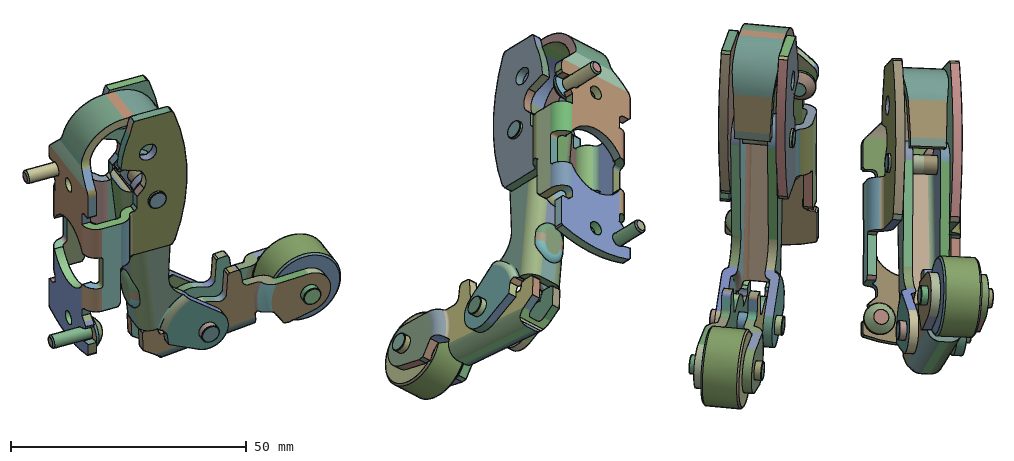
import cadquery as cq
import math


SHEET = 2.0
LONG = 41.45

PIN_DIA = 4.1
LEVER_PIN_DIA = 4.15
LOOSE_HOLE_DIA = 4.15
PIN_HALF_LENGTH = 7.8
PIN_END_CHAMFER = 0.15
BRACKET_PIN = (17.3, 13.1)
LEVER_PIN = (29.65, -25.8)
ROLLER_PIN = (53.4, -23.2)
ROLLER_DIA = 17.0
ROLLER_WIDTH = 8.2
ROLLER_CHAMFER = 0.4

WING_OUTER = 10.0
PLATE_HALF = 9.9
NECK_HALF = 6.8
CHEEK_OUTER = 7.2
WING_TOP = 11.55
WING_BOTTOM = -10.1
RELIEF_RADIUS = 1.1
WING_NOTCH = (3.4, 4.0)
BEND_START = 7.7
BEND_END = 11.7
CHEEK_BOTTOM = 0.15
CHEEK_TOP = 35.1
CHEEK_HOLE_DIA = 4.0
CHEEK_HOLE = (15.3, 26.05)
OPENING_DIA = 16.15
HOLE_DIA = 3.1
HOLE_Z = 17.4
SCREW_X = 6.35
HOOD_HALF = 4.9
HOOD_TOP = 34.7
HOOD_LEAN = 14.5
HOOD_SLOPE_TOP = 26.95
HOOD_SLOPE_LENGTH = 1.45
HOOD_FLAT_START = 10.85
HOOD_FLAT_END = 13.1
HOOD_BACK_RADIUS = 9.9
TONGUE_LEAN = 6.0
TONGUE_KNEE = 17.4
TONGUE_END = 15.6
TONGUE_HALF = 3.9

SCREW_DIA = 3.0
SCREW_REACH = 7.2
SCREW_END_CHAMFER = 0.35
SCREW_HEAD_DIA = 6.8
SCREW_RIM = 0.6
SCREW_HEAD_HEIGHT = 2.3
SCREW_CROWN_DIA = 3.25
SCREW_DOME_POINT = (2.6, 3.5)

TILT = 6.1
LEVER_HALF = 5.0
LEVER_BEND = 3.05
LEVER_WEB_TOP = (11.05, 14.6)
LEVER_LENGTH = 37.9
LEVER_EYE_RADIUS = 4.85
LEVER_LUG_OUTER = 6.2
LEVER_JOGGLE = (9.8, 11.5)
BOSS_RADIUS = 3.95
BOSS_STRAIGHT = 2.1
BOSS_HEIGHT = 0.75
BOSS_FILLET = 1.9
BOSS_PLACES = (15.1, 28.8)

JOGGLE_SPLIT = 0.8

ARM_HALF = 3.9
ARM_BEND = 2.9
ARM_WEB_BACK = (42.15, -30.6)
ARM_EYE_RADIUS = 5.0
ARM_LUG_OUTER = 6.2
ARM_JOGGLE = (8.8, 11.9)
ARM_NECK_RADIUS = 5.8



def prism(sketch, half_width):
    """Extrude a closed (Y, Z) outline to both sides of X = 0."""
    return sketch.close().extrude(half_width, both=True)


def outline(start):
    return cq.Workplane("YZ").moveTo(*start)


def pin_rod(center, diameter, half_length):
    return cq.Workplane("YZ").center(*center).circle(diameter / 2).extrude(half_length, both=True)


def pin(center, diameter=PIN_DIA):
    return pin_rod(center, diameter, PIN_HALF_LENGTH).faces("<X or >X").chamfer(PIN_END_CHAMFER)


def both_sides(body):
    return body.union(body.mirror("YZ"))


def on_circle(center, radius, degrees):
    angle = math.radians(degrees)
    return (center[0] + radius * math.cos(angle), center[1] + radius * math.sin(angle))


def tangent_angle(point, center, radius, side):
    """Direction in degrees from the centre to where a line from the point touches the circle."""
    dy = point[0] - center[0]
    dz = point[1] - center[1]
    spread = math.acos(radius / math.hypot(dy, dz))
    return math.degrees(math.atan2(dz, dy) + side * spread)


def tilted(body, corner):
    """Move a body from its own corner to a (Y, Z) point, leaning it by TILT."""
    return body.rotate((0, 0, 0), (1, 0, 0), TILT).translate((0, *corner))


def channel(half_width, bend, length, depth):
    """Upright U channel: outer web face on Y = 0, open towards +Y, running down from Z = 0."""
    outer = cq.Workplane("XY").box(2 * half_width, depth, length, centered=(True, False, False))
    inner = (
        cq.Workplane("XY")
        .box(2 * (half_width - SHEET), depth, length, centered=(True, False, False))
        .translate((0, SHEET, 0))
    )
    outer = outer.faces("<Y").edges("|Z").fillet(bend)
    inner = inner.faces("<Y").edges("|Z").fillet(bend - SHEET)
    return outer.cut(inner).translate((0, 0, -length))


def joggled_disc(center, radii, lug_outer, body_outer):
    """Sheet disc at +X about a pin, stepping inward between two radii along a smooth S."""
    start, end = radii
    outer_middle = start + JOGGLE_SPLIT * (end - start)
    outer_step = lug_outer - JOGGLE_SPLIT * (lug_outer - body_outer)
    inner_middle = end - JOGGLE_SPLIT * (end - start)
    inner_step = body_outer + JOGGLE_SPLIT * (lug_outer - body_outer)
    lead = min(SHEET, end - start) / 3
    disc = (
        cq.Workplane("XY")
        .moveTo(lug_outer, 0)
        .lineTo(lug_outer, start)
        .tangentArcPoint((outer_step, outer_middle), relative=False)
        .tangentArcPoint((body_outer, end), relative=False)
        .lineTo(body_outer - SHEET, end)
        .lineTo(body_outer - SHEET, end - lead)
        .tangentArcPoint((inner_step - SHEET, inner_middle - lead), relative=False)
        .tangentArcPoint((lug_outer - SHEET, start - lead), relative=False)
        .lineTo(lug_outer - SHEET, 0)
        .close()
        .revolve(360, (0, 0), (1, 0))
    )
    return disc.translate((0, *center))



def plate_outline():
    """Front outline of the mounting plate with its flare up to the hood."""
    return (
        cq.Workplane("XZ")
        .moveTo(-HOOD_HALF, HOOD_TOP)
        .lineTo(HOOD_HALF, HOOD_TOP)
        .lineTo(HOOD_HALF, 26.95)
        .threePointArc((5.3, 25.85), (5.95, 25.15))
        .lineTo(9.25, 21.8)
        .threePointArc((9.75, 21.1), (PLATE_HALF, 20.2))
        .lineTo(PLATE_HALF, 15.35)
        .lineTo(9.45, 14.9)
        .lineTo(7.9, 14.9)
        .threePointArc((7.1, 14.6), (NECK_HALF, 13.8))
        .lineTo(NECK_HALF, -12.4)
        .lineTo(7.9, -13.4)
        .lineTo(8.65, -14.1)
        .lineTo(8.4, -14.8)
        .lineTo(SCREW_X, -15.8)
        .lineTo(SCREW_X, -HOLE_Z)
        .lineTo(7.75, -18.4)
        .lineTo(PLATE_HALF, -17.95)
        .lineTo(PLATE_HALF, -20.6)
        .lineTo(9.6, -21.0)
        .threePointArc((0, -22.5), (-9.6, -21.0))
        .lineTo(-PLATE_HALF, -20.7)
        .lineTo(-PLATE_HALF, -13.8)
        .lineTo(-9.45, -13.4)
        .lineTo(-7.9, -13.4)
        .lineTo(-NECK_HALF, -12.4)
        .lineTo(-NECK_HALF, 14.0)
        .lineTo(-7.4, 15.0)
        .lineTo(-SCREW_X, 15.8)
        .lineTo(-SCREW_X, HOLE_Z)
        .lineTo(-7.7, 18.4)
        .lineTo(-9.6, 18.25)
        .lineTo(-PLATE_HALF, 18.9)
        .lineTo(-PLATE_HALF, 20.2)
        .threePointArc((-9.75, 21.1), (-9.25, 21.8))
        .lineTo(-5.95, 25.15)
        .threePointArc((-5.3, 25.85), (-HOOD_HALF, 26.95))
        .close()
        .extrude(LONG, both=True)
    )


def plate_and_hood_front():
    """Flat plate that leans back along a short slope and curls into the front half of the hood."""
    lean = math.radians(HOOD_LEAN)
    curl_radius = (HOOD_TOP - HOOD_SLOPE_TOP) / (1 - math.sin(lean))
    center = (HOOD_FLAT_START, HOOD_TOP - curl_radius)
    curl_angle = 180 - HOOD_LEAN
    curl_start = on_circle(center, curl_radius, curl_angle)
    slope_y = HOOD_SLOPE_LENGTH * math.sin(lean)
    slope_z = HOOD_SLOPE_LENGTH * math.cos(lean)
    slope_start = (curl_start[0] - slope_y, curl_start[1] - slope_z)
    lower_radius = slope_start[0] / (1 - math.cos(lean))
    lower_start = (0, slope_start[1] - lower_radius * math.sin(lean))
    inner_curl_start = on_circle(center, curl_radius - SHEET, curl_angle)
    inner_slope_start = (inner_curl_start[0] - slope_y, inner_curl_start[1] - slope_z)
    sheet = (
        outline((0, -LONG))
        .lineTo(*lower_start)
        .tangentArcPoint(slope_start, relative=False)
        .lineTo(*curl_start)
        .tangentArcPoint((HOOD_FLAT_START, HOOD_TOP), relative=False)
        .lineTo(HOOD_FLAT_END, HOOD_TOP)
        .lineTo(HOOD_FLAT_END, HOOD_TOP - SHEET)
        .lineTo(HOOD_FLAT_START, HOOD_TOP - SHEET)
        .tangentArcPoint(inner_curl_start, relative=False)
        .lineTo(*inner_slope_start)
        .tangentArcPoint((SHEET, lower_start[1]), relative=False)
        .lineTo(SHEET, -LONG)
    )
    return prism(sheet, PLATE_HALF).intersect(plate_outline())


def hood_back():
    """Rear half of the hood, curling down to a sloping tongue that narrows and ends upright."""
    lean = math.radians(TONGUE_LEAN)
    radius = HOOD_BACK_RADIUS
    center = (HOOD_FLAT_END, HOOD_TOP - radius)
    tongue_start = on_circle(center, radius, TONGUE_LEAN)
    inner_start = on_circle(center, radius - SHEET, TONGUE_LEAN)
    knee_y = tongue_start[0] + (tongue_start[1] - TONGUE_KNEE) * math.tan(lean)
    sheet = (
        outline((HOOD_FLAT_END - 0.7, HOOD_TOP))
        .lineTo(HOOD_FLAT_END, HOOD_TOP)
        .tangentArcPoint(tongue_start, relative=False)
        .lineTo(knee_y, TONGUE_KNEE)
        .lineTo(knee_y, TONGUE_END)
        .lineTo(knee_y - SHEET, TONGUE_END)
        .lineTo(knee_y - SHEET, TONGUE_KNEE)
        .lineTo(*inner_start)
        .tangentArcPoint((HOOD_FLAT_END, HOOD_TOP - SHEET), relative=False)
        .lineTo(HOOD_FLAT_END - 0.7, HOOD_TOP - SHEET)
    )
    taper = (
        cq.Workplane("XZ")
        .polyline([
            (-HOOD_HALF, HOOD_TOP), (HOOD_HALF, HOOD_TOP), (HOOD_HALF, 31.35), (4.2, tongue_start[1]),
            (TONGUE_HALF, TONGUE_KNEE), (TONGUE_HALF, TONGUE_END),
            (-TONGUE_HALF, TONGUE_END), (-TONGUE_HALF, TONGUE_KNEE),
            (-4.2, tongue_start[1]), (-HOOD_HALF, 31.35),
        ])
        .close()
        .extrude(LONG, both=True)
    )
    return prism(sheet, HOOD_HALF).intersect(taper)


def wing():
    """Wall at +X: bends back from the plate and then steps inward to the cheek."""
    plate_bend = WING_OUTER - NECK_HALF
    offset = WING_OUTER - CHEEK_OUTER
    run = BEND_END - BEND_START
    turn = 2 * math.atan2(offset, run)
    radius_sum = run / math.sin(turn)
    outer_radius = (radius_sum + SHEET) / 2
    inner_radius = outer_radius - SHEET
    bend_center = (WING_OUTER - outer_radius, BEND_START)
    outer_join = on_circle(bend_center, outer_radius, math.degrees(turn))
    inner_join = on_circle(bend_center, inner_radius, math.degrees(turn))
    section = (
        cq.Workplane("XY", origin=(0, 0, WING_BOTTOM - RELIEF_RADIUS))
        .moveTo(NECK_HALF - 0.7, 0)
        .lineTo(NECK_HALF, 0)
        .tangentArcPoint((WING_OUTER, plate_bend), relative=False)
        .lineTo(WING_OUTER, BEND_START)
        .tangentArcPoint(outer_join, relative=False)
        .tangentArcPoint((CHEEK_OUTER, BEND_END), relative=False)
        .lineTo(CHEEK_OUTER, BEND_END + 0.7)
        .lineTo(CHEEK_OUTER - SHEET, BEND_END + 0.7)
        .lineTo(CHEEK_OUTER - SHEET, BEND_END)
        .tangentArcPoint(inner_join, relative=False)
        .tangentArcPoint((WING_OUTER - SHEET, BEND_START), relative=False)
        .lineTo(WING_OUTER - SHEET, plate_bend)
        .tangentArcPoint((NECK_HALF, SHEET), relative=False)
        .lineTo(NECK_HALF - 0.7, SHEET)
        .close()
        .extrude(WING_TOP - WING_BOTTOM + RELIEF_RADIUS)
    )
    side = (
        outline((0, WING_TOP))
        .lineTo(BEND_END, WING_TOP)
        .lineTo(BEND_END, CHEEK_BOTTOM)
        .lineTo(8.2, CHEEK_BOTTOM)
        .lineTo(7.5, -0.4)
        .lineTo(7.5, -9.2)
        .lineTo(6.9, WING_BOTTOM)
        .lineTo(0, WING_BOTTOM)
    )
    notch_depth, notch_half = WING_NOTCH
    notch = (
        cq.Workplane("XY")
        .box(2 * LONG, 2 * notch_depth, 2 * notch_half)
        .edges("|X")
        .fillet(0.7)
    )
    relief = (
        cq.Workplane("XZ")
        .moveTo(NECK_HALF - 0.7, WING_BOTTOM)
        .lineTo(NECK_HALF + RELIEF_RADIUS, WING_BOTTOM)
        .radiusArc((NECK_HALF, WING_BOTTOM - RELIEF_RADIUS), -RELIEF_RADIUS)
        .lineTo(NECK_HALF - 0.7, WING_BOTTOM - RELIEF_RADIUS)
        .close()
        .extrude(2 * SHEET, both=True)
    )
    wall = section.intersect(prism(side, LONG)).cut(notch)
    return wall.union(section.intersect(relief))


def cheek():
    """Flat side plate at +X that carries the bracket pin."""
    sheet = (
        outline((BEND_END, CHEEK_BOTTOM))
        .lineTo(BEND_END, WING_TOP)
        .lineTo(12.1, WING_TOP)
        .lineTo(12.7, 12.15)
        .lineTo(12.7, 15.2)
        .lineTo(14.3, 16.85)
        .threePointArc((14.7, 19.3), (13.25, 21.75))
        .lineTo(8.9, 23.35)
        .threePointArc((9.6, 27.85), (11.0, 31.85))
        .lineTo(11.7, 34.5)
        .lineTo(12.0, CHEEK_TOP)
        .lineTo(20.7, CHEEK_TOP)
        .lineTo(21.3, 34.55)
        .threePointArc((24.4, 17.55), (21.55, 1.2))
        .lineTo(20.8, CHEEK_BOTTOM)
        .close()
        .extrude(SHEET)
        .translate((CHEEK_OUTER - SHEET, 0, 0))
    )
    return sheet.cut(pin_rod(CHEEK_HOLE, CHEEK_HOLE_DIA, LONG))


def make_bracket():
    holes = (
        cq.Workplane("XZ")
        .pushPoints([(0, HOLE_Z), (0, -HOLE_Z), (-SCREW_X, HOLE_Z), (SCREW_X, -HOLE_Z)])
        .circle(HOLE_DIA / 2)
        .extrude(SHEET, both=True)
    )
    opening = cq.Workplane("XZ").circle(OPENING_DIA / 2).extrude(SHEET, both=True)
    body = plate_and_hood_front().union(hood_back())
    body = body.union(both_sides(wing().union(cheek())))
    return body.cut(holes).cut(opening).union(pin(BRACKET_PIN))



def make_screw(x, z):
    """Screw along Y with its head seated on the back of the plate."""
    shank = SCREW_DIA / 2
    rim = SCREW_HEAD_DIA / 2
    rim_end = SHEET + SCREW_RIM
    crown = SCREW_CROWN_DIA / 2
    head_end = SHEET + SCREW_HEAD_HEIGHT
    return (
        cq.Workplane("XY")
        .moveTo(0, -SCREW_REACH)
        .lineTo(shank - SCREW_END_CHAMFER, -SCREW_REACH)
        .lineTo(shank, SCREW_END_CHAMFER - SCREW_REACH)
        .lineTo(shank, SHEET)
        .lineTo(rim, SHEET)
        .lineTo(rim, rim_end)
        .threePointArc(SCREW_DOME_POINT, (crown, head_end))
        .lineTo(0, head_end)
        .close()
        .revolve(360, (0, 0), (0, 1))
        .translate((x, 0, z))
    )



def lever_outline():
    """Side outline of the lever; its front edge runs ahead of the web."""
    lean = math.radians(TILT)
    web_top_y, web_top_z = LEVER_WEB_TOP
    web_bottom_y = web_top_y + LEVER_LENGTH * math.sin(lean)
    web_bottom_z = web_top_z - LEVER_LENGTH * math.cos(lean)
    lug_tip = (20.5, -26.65)
    shoulder = (24.45, -15.55)
    waist = (21.1, -10.0)
    radius = LEVER_EYE_RADIUS
    lug_start = tangent_angle(lug_tip, LEVER_PIN, radius, 1)
    lug_end = tangent_angle(shoulder, LEVER_PIN, radius, -1)
    eye_start = tangent_angle(waist, BRACKET_PIN, radius, 1)
    eye_end = 161
    return (
        outline((web_bottom_y - 0.7, web_bottom_z - 0.1))
        .lineTo(19.3, -22.95)
        .lineTo(20.2, -24.0)
        .lineTo(*lug_tip)
        .lineTo(*on_circle(LEVER_PIN, radius, lug_start))
        .threePointArc(
            on_circle(LEVER_PIN, radius, (lug_start + lug_end) / 2),
            on_circle(LEVER_PIN, radius, lug_end),
        )
        .lineTo(*shoulder)
        .threePointArc((21.6, -12.4), waist)
        .lineTo(*on_circle(BRACKET_PIN, radius, eye_start))
        .threePointArc(on_circle(BRACKET_PIN, radius, 90), on_circle(BRACKET_PIN, radius, eye_end))
        .lineTo(web_top_y - 0.7, web_top_z)
    )


def lever_boss(distance):
    boss = (
        cq.Workplane("XZ", origin=(0, SHEET, -distance))
        .slot2D(BOSS_STRAIGHT + 2 * BOSS_RADIUS, 2 * BOSS_RADIUS, 90)
        .extrude(SHEET + BOSS_HEIGHT)
    )
    return boss.faces("<Y").edges().fillet(BOSS_FILLET)


def lever_eyes():
    """Flat walls that carry the sides of the channel on above its web."""
    reach = 2 * LEVER_EYE_RADIUS
    wall = cq.Workplane("XY").box(SHEET, LONG, reach, centered=False)
    return both_sides(wall.translate((LEVER_HALF - SHEET, SHEET, 0)))


def make_lever():
    side = prism(lever_outline(), LONG)
    sides = tilted(channel(LEVER_HALF, LEVER_BEND, LEVER_LENGTH, LONG), LEVER_WEB_TOP)
    eyes = tilted(lever_eyes(), LEVER_WEB_TOP)
    lugs = both_sides(joggled_disc(LEVER_PIN, LEVER_JOGGLE, LEVER_LUG_OUTER, LEVER_HALF))
    body = sides.union(eyes).cut(pin_rod(LEVER_PIN, 2 * LEVER_JOGGLE[1], LONG)).union(lugs).intersect(side)
    for distance in BOSS_PLACES:
        body = body.union(tilted(lever_boss(distance), LEVER_WEB_TOP))
    return body.cut(pin_rod(BRACKET_PIN, LOOSE_HOLE_DIA, LONG)).union(pin(LEVER_PIN, LEVER_PIN_DIA))



def arm_outline():
    """Side outline of the roller arm; its lower edge runs below the web."""
    radius = ARM_EYE_RADIUS
    lug_low = (48.6, -29.5)
    eye_end = tangent_angle(lug_low, ROLLER_PIN, radius, 1)
    neck = ARM_NECK_RADIUS
    return (
        outline((42.4, -33.15))
        .lineTo(41.85, -26.6)
        .threePointArc((43.45, -25.55), (45.1, -25.85))
        .lineTo(47.45, -29.35)
        .lineTo(*lug_low)
        .lineTo(*on_circle(ROLLER_PIN, radius, eye_end))
        .threePointArc(on_circle(ROLLER_PIN, radius, 0), on_circle(ROLLER_PIN, radius, 92))
        .lineTo(45.8, -18.6)
        .lineTo(40.8, -18.6)
        .threePointArc((39.5, -18.4), (38.9, -17.55))
        .lineTo(38.5, -14.8)
        .threePointArc((38.1, -14.3), (37.45, -14.1))
        .lineTo(35.85, -14.2)
        .lineTo(35.45, -14.5)
        .lineTo(35.1, -19.8)
        .threePointArc((34.05, -20.85), (32.75, -20.7))
        .lineTo(*on_circle(LEVER_PIN, neck, 85))
        .threePointArc(on_circle(LEVER_PIN, neck, 130), on_circle(LEVER_PIN, neck, 175))
        .lineTo(19.75, -25.3)
        .threePointArc((19.3, -24.5), (19.2, -23.8))
        .lineTo(18.7, -23.2)
        .lineTo(16.15, -23.2)
        .lineTo(15.5, -23.6)
        .lineTo(15.7, -28.3)
        .lineTo(18.45, -30.25)
        .lineTo(20.2, -31.65)
        .lineTo(20.4, -32.2)
        .lineTo(20.4, -35.9)
    )


def make_roller_arm():
    """Arm with its axle and roller."""
    side = prism(arm_outline(), LONG)
    upright = channel(ARM_HALF, ARM_BEND, 2 * LONG, LONG).translate((0, 0, LONG))
    lying = upright.rotate((0, 0, 0), (1, 0, 0), 90)
    sides = tilted(lying, ARM_WEB_BACK)
    lugs = both_sides(joggled_disc(ROLLER_PIN, ARM_JOGGLE, ARM_LUG_OUTER, ARM_HALF))
    body = sides.cut(pin_rod(ROLLER_PIN, 2 * ARM_JOGGLE[1], LONG)).union(lugs).intersect(side)
    roller = pin_rod(ROLLER_PIN, ROLLER_DIA, ROLLER_WIDTH / 2).faces("<X or >X").chamfer(ROLLER_CHAMFER)
    body = body.cut(pin_rod(LEVER_PIN, LOOSE_HOLE_DIA, LONG))
    return body.union(pin(ROLLER_PIN)).union(roller)


bracket = make_bracket()
screws = [make_screw(x, z) for x, z in [(-SCREW_X, HOLE_Z), (SCREW_X, -HOLE_Z)]]
lever = make_lever()
roller_arm = make_roller_arm()

result = cq.Compound.makeCompound(
    [body.solids().val() for body in [bracket, lever, roller_arm, *screws]]
)